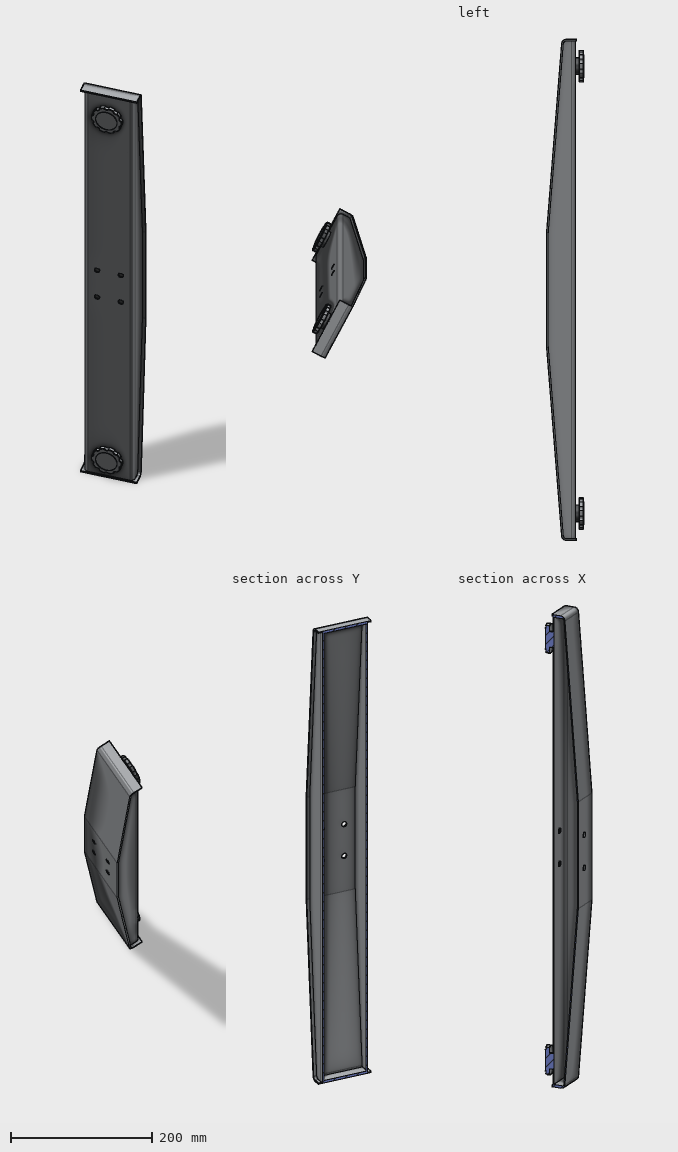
import cadquery as cq
import math

LENGTH = 710.0
PLATE_WIDTH = 84.0
PLATE_SHEET = 2.5
CRANK_DEPTH = 21.0
FLAT_LENGTH = 160.5
FOLD_RADIUS = 7.0
FLANGE_TIP = -1.5
BACK = 41.0

CHANNEL_WIDTH = 74.5
CHANNEL_SHEET = 2.0
BEND_RADIUS = 5.9

HOLE_DIAMETER = 8.0
HOLE_SPACING_X = 35.5
HOLE_SPACING_Z = 50.0

FOOT_SPACING = 633.0
NECK_DIAMETER = 24.0
NECK_LENGTH = 5.0
DISC_DIAMETER = 45.5
DISC_THICKNESS = 6.5
DISC_CHAMFER = 1.0
LOBES = 10
NOTCH_DEPTH = 2.0
NOTCH_RADIUS = 3.5
PAD_DIAMETER = 32.0
PAD_HEIGHT = 1.0


def side_outline(inset):
    """Outline of the plate in YZ, offset inward by inset and closed along the flange tips."""
    half_length = LENGTH / 2 - inset
    slope_run = LENGTH / 2 - FOLD_RADIUS - FLAT_LENGTH / 2
    slope = math.atan2(CRANK_DEPTH, slope_run)
    half_flat = FLAT_LENGTH / 2 - inset * math.tan(slope / 2)
    back = BACK - inset
    radius = FOLD_RADIUS - inset

    fold_z = half_length - radius
    tangent_z = fold_z + radius * math.sin(slope)
    tangent_y = back - (tangent_z - half_flat) * math.tan(slope)
    fold_y = tangent_y - radius * math.cos(slope)
    mid_angle = (slope + math.pi / 2) / 2
    mid_y = fold_y + radius * math.cos(mid_angle)
    mid_z = fold_z + radius * math.sin(mid_angle)

    return (
        cq.Workplane("YZ")
        .moveTo(FLANGE_TIP, -half_length)
        .lineTo(fold_y, -half_length)
        .threePointArc((mid_y, -mid_z), (tangent_y, -tangent_z))
        .lineTo(back, -half_flat)
        .lineTo(back, half_flat)
        .lineTo(tangent_y, tangent_z)
        .threePointArc((mid_y, mid_z), (fold_y, half_length))
        .lineTo(FLANGE_TIP, half_length)
        .close()
    )


def plate_block(inset):
    """Solid block, as wide as the plate, bounded by its inset outline."""
    return side_outline(inset).extrude(PLATE_WIDTH / 2, both=True)


def back_plate():
    return plate_block(0).cut(plate_block(PLATE_SHEET))


def channel_bar(inset):
    """Bar with two rounded front edges, inset from the channel's front, sides and ends."""
    width = CHANNEL_WIDTH - 2 * inset
    depth = BACK - inset
    length = LENGTH - 2 * PLATE_SHEET - 2 * inset
    return (
        cq.Workplane("XY")
        .box(width, depth, length, centered=(True, False, True))
        .translate((0, inset, 0))
        .edges("|Z and <Y")
        .fillet(BEND_RADIUS - inset)
    )


def channel():
    hollow_bar = channel_bar(0).cut(channel_bar(CHANNEL_SHEET))
    return hollow_bar.intersect(plate_block(PLATE_SHEET))


def foot():
    """Lobed disc on a round neck, standing forward from the channel face."""
    neck = cq.Workplane("XZ").circle(NECK_DIAMETER / 2).extrude(NECK_LENGTH)
    notch_offset = DISC_DIAMETER / 2 - NOTCH_DEPTH + NOTCH_RADIUS
    notches = (
        cq.Workplane("XZ", origin=(0, -NECK_LENGTH, 0))
        .polarArray(notch_offset, 180 / LOBES, 360, LOBES)
        .circle(NOTCH_RADIUS)
        .extrude(DISC_THICKNESS)
    )
    disc = (
        cq.Workplane("XZ", origin=(0, -NECK_LENGTH, 0))
        .circle(DISC_DIAMETER / 2)
        .extrude(DISC_THICKNESS)
        .cut(notches)
        .faces("<Y or >Y")
        .chamfer(DISC_CHAMFER)
        .faces("<Y")
        .workplane(centerOption="CenterOfBoundBox")
        .circle(PAD_DIAMETER / 2)
        .extrude(PAD_HEIGHT)
    )
    return neck.union(disc)


def fixing_holes():
    return (
        cq.Workplane("XZ")
        .rarray(HOLE_SPACING_X, HOLE_SPACING_Z, 2, 2)
        .circle(HOLE_DIAMETER / 2)
        .extrude(-BACK)
    )


result = back_plate().union(channel())
for side in (-1, 1):
    result = result.union(foot().translate((0, 0, side * FOOT_SPACING / 2)))
result = result.cut(fixing_holes())